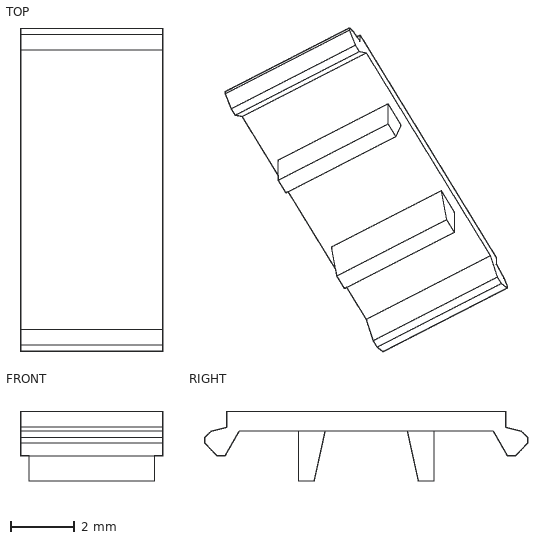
import cadquery as cq

length = 10.2
width = 4.5
height = 2.2

plate_length = 8.81
plate_thickness = 0.62

shoulder_depth = 0.5
lip_bevel_run = 0.2
lip_bevel_depth = 0.62
nose_top_depth = 0.82
nose_bottom_depth = 1.0
lip_depth = 1.41
lip_bottom_outer_inset = 0.39
lip_bottom_inner_inset = 0.64
lip_root_inset = 1.09

leg_width = 3.98
leg_outer_y = 2.14
leg_root_thickness = 0.85
leg_tip_thickness = 0.5


def extrude_profile(points, extrusion_width):
    """Extrude a YZ outline along X, centred on X = 0."""
    return cq.Workplane("YZ").polyline(points).close().extrude(extrusion_width / 2, both=True)


def make_plate_with_lips():
    end = length / 2
    half_outline = [
        (plate_length / 2, 0),
        (plate_length / 2, -shoulder_depth),
        (end - lip_bevel_run, -lip_bevel_depth),
        (end, -nose_top_depth),
        (end, -nose_bottom_depth),
        (end - lip_bottom_outer_inset, -lip_depth),
        (end - lip_bottom_inner_inset, -lip_depth),
        (end - lip_root_inset, -plate_thickness),
    ]
    mirrored_outline = [(-y, z) for y, z in reversed(half_outline)]
    return extrude_profile(half_outline + mirrored_outline, width)


def make_leg(side):
    """Make the leg on the +Y (side = 1) or -Y (side = -1) half."""
    outline = [
        (side * leg_outer_y, -plate_thickness),
        (side * leg_outer_y, -height),
        (side * (leg_outer_y - leg_tip_thickness), -height),
        (side * (leg_outer_y - leg_root_thickness), -plate_thickness),
    ]
    return extrude_profile(outline, leg_width)


result = make_plate_with_lips()
for side in (-1, 1):
    result = result.union(make_leg(side))